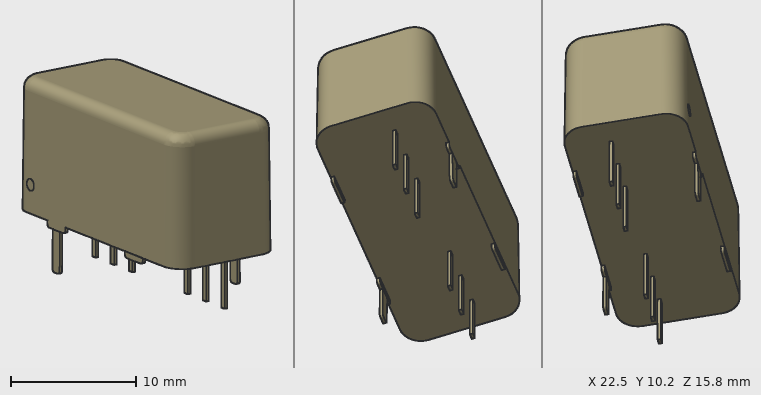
import cadquery as cq
import math

HOUSING_LENGTH = 22.5
HOUSING_WIDTH = 10.1
HOUSING_HEIGHT = 11.12
DRAFT_ANGLE = 0.5
CORNER_RADIUS = 1.8
TOP_RADIUS = 1.0

LAYOUT_X = -0.05

PIN_PITCH = 2.55
PIN_STEPS = [-3.5, -2.5, -1.5, 1.5, 2.5, 3.5]
PIN_WIDTH = 0.5
PIN_THICKNESS = 0.27
PIN_LENGTH = 4.68
PIN_ROW_Y = 1.33

TAB_OFFSET_X = 5.3
TAB_WIDTH = 2.48
TAB_HEIGHT = 0.55
TAB_THICKNESS = 0.27
TAB_INSET = 0.05
TAB_ROOT = 0.22
TAB_RADIUS = 0.3

BLADE_WIDTH = 1.0
BLADE_THICKNESS = TAB_THICKNESS
BLADE_TIP_DEPTH = 4.1
BLADE_RADIUS = 0.3

DOT_DIAMETER = 1.0
DOT_Z = 2.4
DOT_DEPTH = 0.2

LEFT_X = LAYOUT_X - TAB_OFFSET_X
RIGHT_X = LAYOUT_X + TAB_OFFSET_X
FRONT_Y = -HOUSING_WIDTH / 2
BACK_Y = HOUSING_WIDTH / 2
FLUSH_TAB_PLACES = [(LEFT_X, FRONT_Y), (RIGHT_X, BACK_Y)]
INSET_TAB_PLACES = [(RIGHT_X, FRONT_Y + TAB_INSET), (LEFT_X, BACK_Y - TAB_INSET)]


def rounded_plate(x, outer_y, width, thickness, top_z, bottom_z, radius):
    """Plate with rounded lower corners, parallel to the drafted wall on its side of Y = 0.

    outer_y is where the outer face, the one farthest from Y = 0, meets the plane Z = 0.
    """
    center_y = outer_y - math.copysign(thickness / 2, outer_y)
    height = top_z - bottom_z
    plate = cq.Workplane("XY").box(width, thickness, height, centered=(True, True, False))
    plate = plate.edges("|Y and <Z").fillet(radius).translate((x, center_y, bottom_z))
    tilt = math.copysign(DRAFT_ANGLE, outer_y)
    return plate.rotate((0, outer_y, 0), (1, outer_y, 0), tilt)


def make_cover():
    """Drafted box with rounded vertical corners and a rounded top rim."""
    cover = (
        cq.Workplane("XY")
        .rect(HOUSING_LENGTH, HOUSING_WIDTH)
        .extrude(HOUSING_HEIGHT, taper=DRAFT_ANGLE)
    )
    cover = cover.edges("not(#Z)").fillet(CORNER_RADIUS)
    return cover.faces(">Z").edges().fillet(TOP_RADIUS)


def make_tab(x, outer_y):
    return rounded_plate(x, outer_y, TAB_WIDTH, TAB_THICKNESS, TAB_ROOT, -TAB_HEIGHT, TAB_RADIUS)


def make_dot(cover):
    """Shallow disc whose outer face is flush with the drafted -Y face."""
    dot_x = LAYOUT_X + PIN_STEPS[0] * PIN_PITCH
    disc = (
        cq.Workplane("XZ", origin=(dot_x, FRONT_Y, DOT_Z))
        .circle(DOT_DIAMETER / 2)
        .extrude(-DOT_DEPTH)
    )
    return disc.intersect(cover)


def make_housing(cover, dot):
    """Cover with its tabs and the recess that holds the marker dot."""
    housing = cover
    for x, outer_y in FLUSH_TAB_PLACES + INSET_TAB_PLACES:
        housing = housing.union(make_tab(x, outer_y))
    return housing.cut(dot)


def make_contact_pin(step):
    pin = cq.Workplane("XY").box(PIN_WIDTH, PIN_THICKNESS, PIN_LENGTH, centered=(True, True, False))
    return pin.translate((LAYOUT_X + step * PIN_PITCH, PIN_ROW_Y, -PIN_LENGTH))


def make_blade(x, outer_y):
    return rounded_plate(
        x, outer_y, BLADE_WIDTH, BLADE_THICKNESS, -TAB_HEIGHT, -BLADE_TIP_DEPTH, BLADE_RADIUS
    )


cover = make_cover()
dot = make_dot(cover)
housing = make_housing(cover, dot)
contact_pins = [make_contact_pin(step) for step in PIN_STEPS]
blades = [make_blade(x, y) for x, y in FLUSH_TAB_PLACES]

result = cq.Compound.makeCompound(
    [
        housing.val(),
        dot.val(),
        *[pin.val() for pin in contact_pins],
        *[blade.val() for blade in blades],
    ]
)